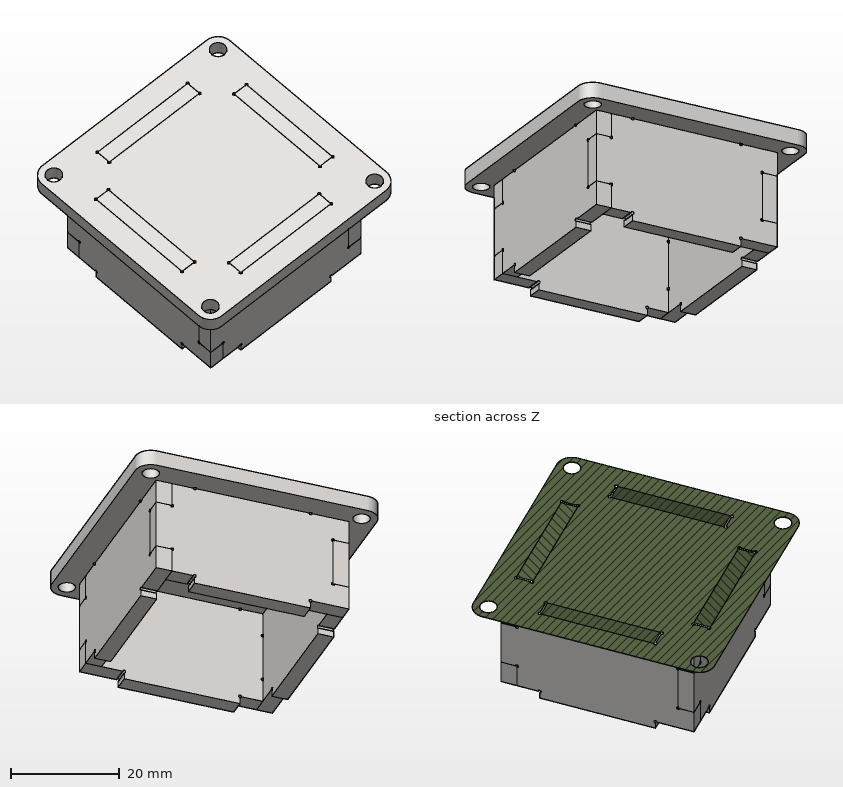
import cadquery as cq

plate_side = 47.65
sheet_thickness = 3.15
box_side = 38.15
wall_height = 19.05
long_tab_length = 22.9
bottom_tab_height = 1.55
hole_diameter = 3.2
hole_pitch = 41.65
relief_radius = 0.3

half_box = box_side / 2
half_tab = long_tab_length / 2
half_inner = half_box - sheet_thickness
corner_radius = (plate_side - hole_pitch) / 2
half_height = wall_height / 2
half_finger = wall_height / 4
wall_middle = half_box - sheet_thickness / 2
quarter_turns = (0, 90, 180, 270)


def make_plate():
    """Square top plate with rounded corners, corner holes and four slots for the wall tabs."""
    plate = (
        cq.Workplane("XY", origin=(0, 0, half_height))
        .rect(plate_side, plate_side)
        .extrude(sheet_thickness)
        .edges("|Z")
        .fillet(corner_radius)
    )
    holes = (
        cq.Workplane("XY", origin=(0, 0, half_height))
        .rect(hole_pitch, hole_pitch, forConstruction=True)
        .vertices()
        .circle(hole_diameter / 2)
        .extrude(sheet_thickness)
    )
    plate = plate.cut(holes)
    slot = make_slot_cutter()
    for angle in quarter_turns:
        plate = plate.cut(slot.rotate((0, 0, 0), (0, 0, 1), angle))
    return plate


def make_slot_cutter():
    """Slot along the -Y side of the plate, with a relief circle on each corner."""
    base = cq.Workplane("XY", origin=(0, -wall_middle, half_height))
    slot = base.rect(long_tab_length, sheet_thickness).extrude(sheet_thickness)
    reliefs = (
        base.rect(long_tab_length, sheet_thickness, forConstruction=True)
        .vertices()
        .circle(relief_radius)
        .extrude(sheet_thickness)
    )
    return slot.union(reliefs)


def make_wall():
    """Wall on the -Y side: a finger on its -X edge and a matching notch in its +X edge."""
    tab_top = half_height + sheet_thickness
    tab_bottom = -half_height - bottom_tab_height
    outline = [
        (-half_tab, tab_bottom),
        (half_tab, tab_bottom),
        (half_tab, -half_height),
        (half_box, -half_height),
        (half_box, -half_finger),
        (half_inner, -half_finger),
        (half_inner, half_finger),
        (half_box, half_finger),
        (half_box, half_height),
        (half_tab, half_height),
        (half_tab, tab_top),
        (-half_tab, tab_top),
        (-half_tab, half_height),
        (-half_inner, half_height),
        (-half_inner, half_finger),
        (-half_box, half_finger),
        (-half_box, -half_finger),
        (-half_inner, -half_finger),
        (-half_inner, -half_height),
        (-half_tab, -half_height),
    ]
    inside_corners = [
        (side * x, end * z)
        for x, z in ((half_tab, half_height), (half_inner, half_finger))
        for side in (-1, 1)
        for end in (-1, 1)
    ]
    inner_face = cq.Workplane("XZ", origin=(0, -half_inner, 0))
    wall = inner_face.polyline(outline).close().extrude(sheet_thickness)
    reliefs = inner_face.pushPoints(inside_corners).circle(relief_radius).extrude(sheet_thickness)
    return wall.cut(reliefs)


plate = make_plate()

first_wall = make_wall()
walls = [first_wall.rotate((0, 0, 0), (0, 0, 1), angle) for angle in quarter_turns]

result = cq.Compound.makeCompound([plate.val(), *[wall.val() for wall in walls]])